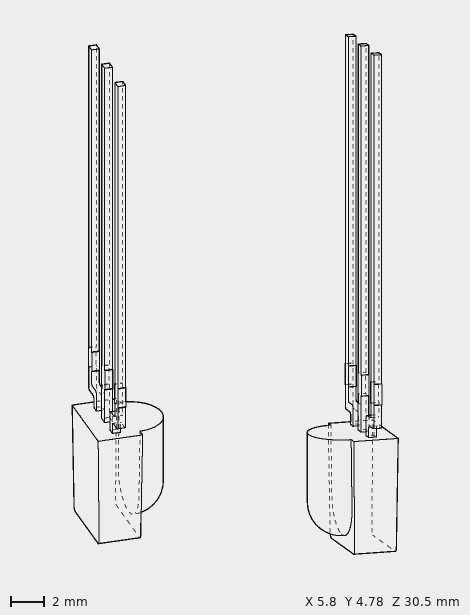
import cadquery as cq
import math

TOTAL_HEIGHT = 30.5
TOTAL_WIDTH = 5.8

BODY_WIDTH = 5.05
BODY_DEPTH = 2.78
BODY_HEIGHT = 6.95
DRAFT_INSET = 0.1
BOTTOM_EDGE_RADIUS = 0.25
LENS_RADIUS = 2.0
LENS_CENTRE_Z = 2.7

LEAD_THICKNESS = 0.5
LEAD_CENTRE_Y = 1.37
LEAD_WIDTH = 0.58
COLLAR_WIDTH = 0.7
LEAD_PITCH = (TOTAL_WIDTH - COLLAR_WIDTH) / 2

COLLAR_BOTTOM = 2.2
COLLAR_TOP = 3.48

STUB_INNER_X = 1.3
STUB_WIDTH = 0.5
CRANK_BOTTOM = 0.73
CRANK_TOP = 1.28
BEND_RADIUS = 0.18

LEAD_LENGTH = TOTAL_HEIGHT - BODY_HEIGHT


def make_package():
    """Block narrowing downward, joined to a round-ended lens."""
    draft_angle = math.degrees(math.atan(DRAFT_INSET / BODY_HEIGHT))
    block = (
        cq.Workplane("XY", origin=(0, BODY_DEPTH / 2, BODY_HEIGHT))
        .rect(BODY_WIDTH, BODY_DEPTH)
        .extrude(-BODY_HEIGHT, taper=draft_angle)
    )
    block = block.faces("<Z").edges("<X or >X").fillet(BOTTOM_EDGE_RADIUS)

    lens_length = BODY_HEIGHT - LENS_CENTRE_Z
    diagonal = LENS_RADIUS * math.sqrt(0.5)
    lens = (
        cq.Workplane("XZ", origin=(0, BODY_DEPTH, LENS_CENTRE_Z))
        .moveTo(0, -LENS_RADIUS)
        .threePointArc((diagonal, -diagonal), (LENS_RADIUS, 0))
        .lineTo(LENS_RADIUS, lens_length)
        .lineTo(0, lens_length)
        .close()
        .revolve(360, (0, 0), (0, 1))
    )
    return block.union(lens)


def lead_plane():
    """Plane at the middle of the leads, with its origin on top of the package."""
    return cq.Workplane("XZ", origin=(0, LEAD_CENTRE_Y, BODY_HEIGHT))


def make_bar(x_min, x_max, z_min, z_max):
    """Rectangular stretch of lead between two X limits and two Z limits."""
    return (
        lead_plane()
        .center((x_min + x_max) / 2, (z_min + z_max) / 2)
        .rect(x_max - x_min, z_max - z_min)
        .extrude(LEAD_THICKNESS / 2, both=True)
    )


def make_collar(x):
    """Wider stretch of a lead whose centre line is at x."""
    return make_bar(x - COLLAR_WIDTH / 2, x + COLLAR_WIDTH / 2, COLLAR_BOTTOM, COLLAR_TOP)


def make_centre_lead():
    """Straight lead with a collar."""
    shank = make_bar(-LEAD_WIDTH / 2, LEAD_WIDTH / 2, 0, LEAD_LENGTH)
    return shank.union(make_collar(0))


def make_outer_lead(side):
    """Cranked lead with a collar; side is -1 for left and 1 for right."""
    shank_inner = LEAD_PITCH - LEAD_WIDTH / 2
    shank_outer = LEAD_PITCH + LEAD_WIDTH / 2
    stub_outer = STUB_INNER_X + STUB_WIDTH
    bends = [
        (stub_outer, CRANK_BOTTOM),
        (shank_outer, CRANK_BOTTOM),
        (shank_inner, CRANK_TOP),
        (STUB_INNER_X, CRANK_TOP),
    ]
    outline = [
        (STUB_INNER_X, 0),
        (stub_outer, 0),
        *bends[:2],
        (shank_outer, LEAD_LENGTH),
        (shank_inner, LEAD_LENGTH),
        *bends[2:],
    ]
    lead = (
        lead_plane()
        .polyline([(side * x, z) for x, z in outline])
        .close()
        .extrude(LEAD_THICKNESS / 2, both=True)
    )

    for x, z in bends:
        corner = (side * x, LEAD_CENTRE_Y, BODY_HEIGHT + z)
        lead = lead.edges(cq.selectors.NearestToPointSelector(corner)).fillet(BEND_RADIUS)
    return lead.union(make_collar(side * LEAD_PITCH))


package = make_package()
centre_lead = make_centre_lead()
outer_leads = [make_outer_lead(side) for side in (-1, 1)]

result = cq.Compound.makeCompound(
    [package.val(), centre_lead.val(), *[lead.val() for lead in outer_leads]]
)